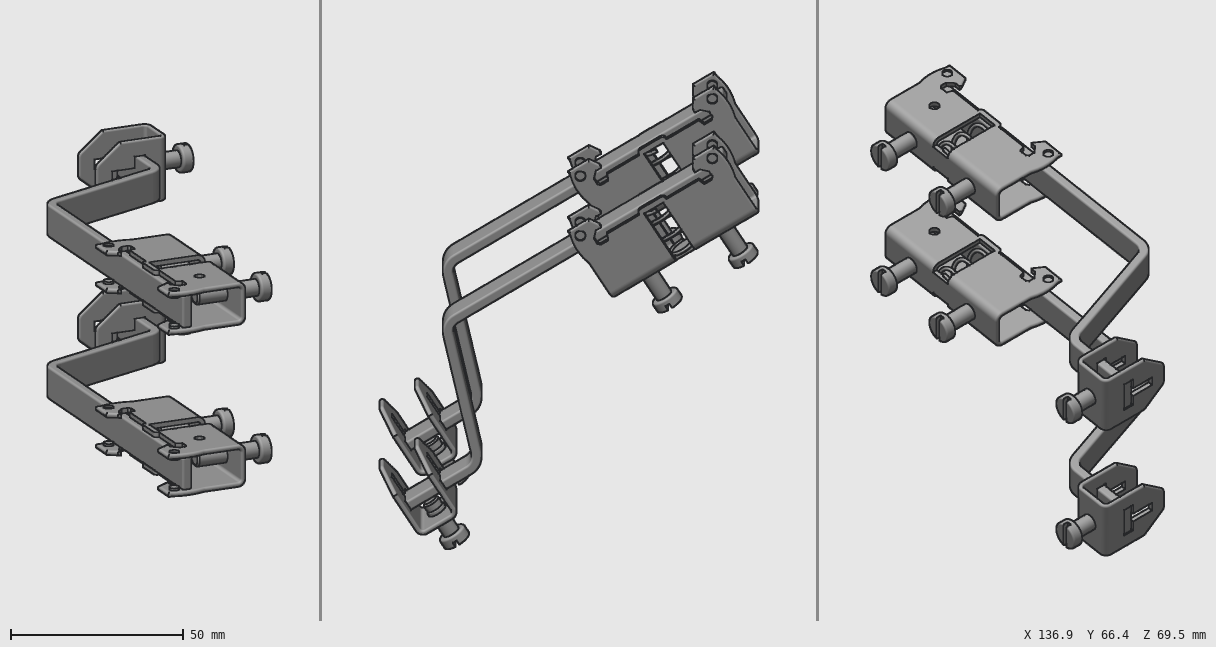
import cadquery as cq
import math

sheet = 1.5
bend_inner = 1.0
bend_outer = bend_inner + sheet
edge_round = 0.7
stack_pitch = 49.6

bar_width = 10.0
bar_thick = 3.0
bar_end = 136.0
bar_front_y = 48.1
bar_rear_y = 6.2
bar_bend_start = 22.0
bar_bend_radius = 4.9
bar_slope = 70.5

shank_radius = 5.0 / 2
head_radius = 4.2
head_height = 3.4
head_top_round = 0.5
head_base_round = 0.7
slot_width = 1.4
slot_depth = 1.6
tip_chamfer = 0.5

saddle_width = 13.5
saddle_height = 19.9
saddle_top_y = 56.8
saddle_end_y = 34.0
saddle_x = saddle_width / 2
taper_start_y = 41.6
taper_end_half = 3.7
taper_corner_radius = 2.0
bar_slot_gap = 0.4
key_slot_height = 3.0
key_slot_end_y = 38.9
saddle_head_top_y = 66.4
saddle_tip_y = 51.4
collar_radius = 2.9
collar_length = 1.4
collar_round = 0.5

clamp_x = 111.0
clamp_half = 25.0
bulge_half = 25.9
bulge_y = 6.6
bulge_span = 5.0
bulge_blend = 2.0
clamp_back_y = 24.9
clamp_height = bar_width + 2 * sheet
window_half = 3.3
window_end_y = 7.0
clamp_edge_y = 6.6
tongue_y = 5.2
tongue_half = 4.7
tongue_corner = 1.2
lug_tip = 16.0
lug_foot = 17.8
lug_throat = 17.8
notch_outer = 19.7
notch_inner = 15.7
lug_tip_low_y = 2.9
lug_tip_high_y = 4.0
lug_neck_y = 5.9
notch_top_y = 8.5
notch_corner = 0.7
pip_radius = 1.5
pip_depth = 0.7
pip_offset = 22.6
pip_y = 3.0
sight_hole_radius = 1.5
sight_hole_x = clamp_x + 14.4
sight_hole_y = 14.9
clamp_screw_offset = 13.0
clamp_head_top_y = 37.0
clamp_tip_y = 14.0

wire_radius = 0.5
coil_radius = 4.4
coil_turns = 2.5
coil_start_y = 8.6
coil_end_y = clamp_back_y - sheet
coil_flattening = 0.8
coil_samples = 100


def box(x0, x1, y0, y1, z0, z1):
    return cq.Workplane("XY").box(x1 - x0, y1 - y0, z1 - z0, centered=False).translate((x0, y0, z0))


def make_screw(x, head_top_y, tip_y):
    """Slotted cheese-head screw along Y, with its head at +Y and the slot along Z."""
    head_base_y = head_top_y - head_height
    head = cq.Workplane("XZ", origin=(x, head_top_y, 0)).circle(head_radius).extrude(head_height)
    head = head.faces(">Y").edges().fillet(head_top_round)
    head = head.faces("<Y").edges().fillet(head_base_round)
    slot = box(
        x - slot_width / 2, x + slot_width / 2, head_top_y - slot_depth, head_top_y, -head_radius, head_radius
    )
    shank = cq.Workplane("XZ", origin=(x, head_base_y, 0)).circle(shank_radius).extrude(head_base_y - tip_y)
    shank = shank.faces("<Y").edges().chamfer(tip_chamfer)
    return head.cut(slot).union(shank)


def make_bar():
    """Flat bar swept along its bent centre line, rounded along every edge."""
    slope = math.radians(bar_slope)
    tangent = bar_bend_radius * math.tan(slope / 2)
    corner_1 = (bar_bend_start + tangent, bar_front_y)
    run = (bar_front_y - bar_rear_y) / math.tan(slope)
    corner_2 = (corner_1[0] + run, bar_rear_y)
    step = (tangent * math.cos(slope), tangent * math.sin(slope))
    path = (
        cq.Workplane("XY")
        .moveTo(0, bar_front_y)
        .lineTo(bar_bend_start, bar_front_y)
        .tangentArcPoint((corner_1[0] + step[0], corner_1[1] - step[1]), relative=False)
        .lineTo(corner_2[0] - step[0], corner_2[1] + step[1])
        .tangentArcPoint((corner_2[0] + tangent, bar_rear_y), relative=False)
        .lineTo(bar_end, bar_rear_y)
    )
    bar = cq.Workplane("YZ", origin=(0, bar_front_y, 0)).rect(bar_thick, bar_width).sweep(path)
    return bar.faces("<X or >X or <Z or >Z").edges().fillet(edge_round)


def make_saddle_bracket():
    """U bracket with tapered legs, rounded along its rim."""
    half = saddle_height / 2
    outside = box(0, saddle_width, saddle_end_y, saddle_top_y, -half, half)
    outside = outside.edges("|Z and >Y").fillet(bend_outer)
    inside = box(sheet, saddle_width - sheet, saddle_end_y, saddle_top_y - sheet, -half, half)
    inside = inside.edges("|Z and >Y").fillet(bend_inner)
    side = (
        cq.Workplane("YZ")
        .polyline([
            (saddle_top_y, -half), (saddle_top_y, half), (taper_start_y, half),
            (saddle_end_y, taper_end_half), (saddle_end_y, -taper_end_half), (taper_start_y, -half),
        ])
        .close()
        .extrude(saddle_width)
    )
    side = side.edges("|X and <Y").fillet(taper_corner_radius)
    bracket = outside.cut(inside).intersect(side)

    rim = []
    for edge in bracket.edges().vals():
        box_size = edge.BoundingBox()
        through_sheet = box_size.ylen + box_size.zlen < sheet / 2
        bend_line = box_size.zlen > sheet and edge.Center().y > taper_start_y
        if not (through_sheet or bend_line):
            rim.append(edge)
    return bracket.newObject(rim).fillet(edge_round)


def make_saddle():
    """Bracket with bar slots and key slots in both legs, and its screw in a collar."""
    bar_slot_y = bar_front_y - bar_thick / 2 - bar_slot_gap
    bar_slot = box(
        0, saddle_width, bar_slot_y, bar_front_y + bar_thick / 2, -bar_width / 2, bar_width / 2
    )
    key_slot = box(
        0, saddle_width, key_slot_end_y, bar_slot_y, -key_slot_height / 2, key_slot_height / 2
    )
    collar = (
        cq.Workplane("XZ", origin=(saddle_x, saddle_top_y - sheet, 0))
        .circle(collar_radius)
        .extrude(collar_length)
        .faces("<Y").edges().fillet(collar_round)
    )
    screw = make_screw(saddle_x, saddle_head_top_y, saddle_tip_y)
    return make_saddle_bracket().cut(bar_slot).cut(key_slot).union(collar).union(screw)


def coil_point(share):
    """Point on the wire's centre line, with share going from 0 to 1 along the coil.

    Half a turn at each end stays flat. In between the top and bottom runs are nearly level, and
    the sides take most of the rise.
    """
    pitch = (coil_end_y - coil_start_y) / coil_turns
    active_angle = 2 * math.pi * coil_turns
    angle = (active_angle + 2 * math.pi) * share - math.pi
    climbed = min(max(angle, 0), active_angle)
    ripple = coil_flattening * pitch / (4 * math.pi)
    y = coil_start_y + pitch * climbed / (2 * math.pi) - ripple * math.sin(2 * climbed)
    return (clamp_x + coil_radius * math.sin(angle), y, coil_radius * math.cos(angle))


def make_spring():
    """Round wire wound along Y, from behind the bar to the back of the channel."""
    path = cq.Workplane("XY").parametricCurve(coil_point, N=coil_samples)
    section = cq.Workplane("YZ", origin=coil_point(0)).circle(wire_radius)
    return section.sweep(path, isFrenet=True)


def make_channel_outline():
    """Solid block with the plan shape of the spring clamp plates: bulged ends, lugs and tongue."""
    half_rim = [
        (lug_foot, 0),
        (lug_tip, lug_tip_low_y),
        (lug_tip, lug_tip_high_y),
        (lug_throat, lug_tip_high_y),
        (notch_outer, lug_neck_y),
        (notch_outer, notch_top_y - notch_corner),
        (notch_outer - notch_corner, notch_top_y),
        (notch_inner + notch_corner, notch_top_y),
        (notch_inner, clamp_edge_y),
        (tongue_half, clamp_edge_y),
        (tongue_half, tongue_y),
    ]
    left_rim = [(clamp_x - dx, y) for dx, y in half_rim]
    right_rim = [(clamp_x + dx, y) for dx, y in reversed(half_rim)]
    left, right = clamp_x - clamp_half, clamp_x + clamp_half
    bulge_low_y, bulge_high_y = bulge_y - bulge_span, bulge_y + bulge_span
    tongue_zone = cq.selectors.BoxSelector(
        (clamp_x - 2 * tongue_half, 0, -clamp_height),
        (clamp_x + 2 * tongue_half, (tongue_y + clamp_edge_y) / 2, clamp_height),
    )
    return (
        cq.Workplane("XY", origin=(0, 0, -clamp_height / 2))
        .moveTo(left, clamp_back_y)
        .lineTo(left, bulge_high_y)
        .threePointArc((clamp_x - bulge_half, bulge_y), (left, bulge_low_y))
        .polyline([(left, 0), *left_rim, *right_rim, (right, 0), (right, bulge_low_y)], includeCurrent=True)
        .threePointArc((clamp_x + bulge_half, bulge_y), (right, bulge_high_y))
        .lineTo(right, clamp_back_y)
        .close()
        .extrude(clamp_height)
        .edges("|Z").edges(tongue_zone).fillet(tongue_corner)
    )


def make_channel():
    """Bent channel open towards -Y, rounded along its ends and the outside of its lugs."""
    block = make_channel_outline()
    bulge_corners = [
        edge for edge in block.edges("|Z").vals()
        if abs(abs(edge.Center().y - bulge_y) - bulge_span) < edge_round
        and abs(edge.Center().x - clamp_x) > clamp_half - edge_round
    ]
    block = block.newObject(bulge_corners).fillet(bulge_blend)
    outside = block.edges("|X and >Y").fillet(bend_outer)
    inside = box(
        clamp_x - bulge_half, clamp_x + bulge_half, 0, clamp_back_y - sheet, -bar_width / 2, bar_width / 2
    )
    inside = inside.edges("|X and >Y").fillet(bend_inner)
    channel = outside.cut(inside)

    rim = []
    for edge in channel.edges().vals():
        middle = edge.Center()
        on_end = abs(middle.x - clamp_x) > clamp_half - edge_round
        on_foot = middle.y < lug_tip_low_y
        on_plate = middle.y < clamp_back_y - bend_outer
        through_sheet = on_plate and abs(edge.endPoint().z - edge.startPoint().z) > sheet / 2
        if (on_end or on_foot) and not through_sheet:
            rim.append(edge)
    return channel.newObject(rim).fillet(edge_round)


def make_pips(base_z):
    """Two discs of the half-pierced pips, one in each outer lug corner."""
    centres = [(clamp_x - pip_offset, pip_y), (clamp_x + pip_offset, pip_y)]
    return cq.Workplane("XY", origin=(0, 0, base_z)).pushPoints(centres).circle(pip_radius).extrude(pip_depth)


def make_plate_cuts():
    """Window that runs into the back bend, and the outer recesses of the pips, for the upper plate."""
    half = clamp_height / 2
    cuts = box(
        clamp_x - window_half, clamp_x + window_half, window_end_y, clamp_back_y, half - bend_outer, half
    )
    return cuts.union(make_pips(half - pip_depth))


def make_spring_clamp():
    """Channel with windows on its coil spring, half-pierced pips, and two screws in its back."""
    bosses = make_pips(bar_width / 2 - pip_depth)
    cuts = make_plate_cuts()
    clamp = make_channel().union(bosses).union(bosses.mirror("XY"))
    clamp = clamp.cut(cuts).cut(cuts.mirror("XY"))

    sight_hole = (
        cq.Workplane("XY")
        .center(sight_hole_x, sight_hole_y)
        .circle(sight_hole_radius)
        .extrude(clamp_height / 2)
    )
    clamp = clamp.cut(sight_hole).union(make_spring())
    for screw_x in (clamp_x - clamp_screw_offset, clamp_x + clamp_screw_offset):
        clamp = clamp.union(make_screw(screw_x, clamp_head_top_y, clamp_tip_y))
    return clamp


bodies = []
for level_z in (-stack_pitch / 2, stack_pitch / 2):
    bar = make_bar().translate((0, 0, level_z))
    saddle = make_saddle().translate((0, 0, level_z))
    spring_clamp = make_spring_clamp().translate((0, 0, level_z))
    bodies += [bar.val(), saddle.val(), spring_clamp.val()]

result = cq.Compound.makeCompound(bodies)